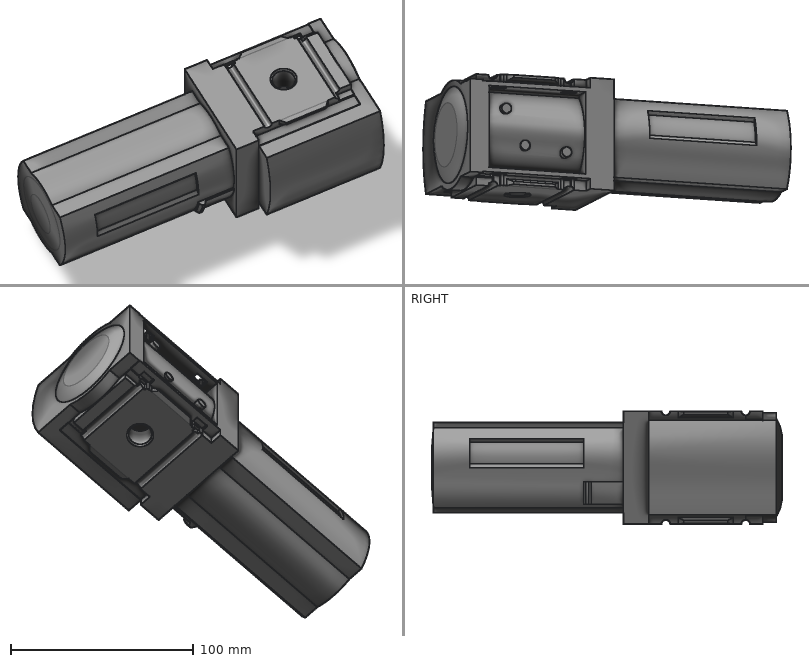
import cadquery as cq
import math


overall_width = 75.8
block_size = 62.0
block_half = block_size / 2
flange_front_y = -45.1
flange_back_y = -31.3
core_half_z = 25.3
plate_half_z = 26.0
plate_back_y = 38.8
cap_half_x = 24.0
cap_half_y = -flange_back_y

cover_edge_x = 40.3
cover_peak_x = overall_width - block_half

neck_radius = 30.1
dome_base_radius = 26.7
dome_top_radius = 17.7
dome_top_y = 41.9
dome_bulge = 0.7

port_radius = 6.3
port_rim_radius = 7.3
port_rim_depth = 1.0
port_depth = 15.4
groove_radius = 2.3
groove_y = 21.9
notch_half_x = 20.0
notch_floor_z = 26.5
lip_reach_x = 27.0
lip_root_half_y = 15.0
lip_tip_half_y = 12.0
lip_root_z = 27.3
lip_edge_low_z = 29.0
lip_edge_high_z = 30.5

slot_y = 20.5
slot_outer_x = 27.6
slot_shoulder_x = 23.6
slot_inner_x = 22.0
slot_width = 7.9
slot_neck_width = 4.5

pocket_front_y = -28.6
pocket_back_y = 27.8
pocket_half_z = 22.8
pocket_floor_x = 20.0
pocket_fillet = 1.5
barrel_radius = 29.2
pin_diameter = 5.5
long_pin_x = 30.1
short_pin_x = 28.6
pins = [(17.3, 11.0, long_pin_x), (5.8, -8.6, short_pin_x), (-17.9, -11.1, long_pin_x)]

bowl_half_x = 28.2
bowl_flat_z = 21.9
bowl_crown_z = 24.8
bowl_crown_half_x = 12.5
bowl_end_y = -149.4
bowl_side_rise = bowl_half_x - bowl_flat_z
bowl_side_radius = (bowl_flat_z**2 + bowl_side_rise**2) / (2 * bowl_side_rise)
bowl_side_center_x = bowl_half_x - bowl_side_radius
tip_base_radius = 21.7
tip_radius = 11.5
tip_y = -150.1

window_depth = 2.0
window_back_y = -67.0
window_front_y = -129.5
window_low_z = 0.0
window_high_z = 16.0
window_draft = 2.1

tab_radius = 42.0
tab_bump_radius = 44.0
tab_top_z = -7.9
tab_bottom_z = -20.0
tab_front_y = -67.0
bump_back_y = -62.8
bump_slope = 1.3

OVERLAP = 2.0


def box(x0, x1, y0, y1, z0, z1):
    return cq.Workplane("XY").box(x1 - x0, y1 - y0, z1 - z0, centered=False).translate((x0, y0, z0))


def along_y(y0):
    """Sketch plane with local x = X and local y = Z; positive extrusion runs toward -Y."""
    return cq.Workplane("XZ", origin=(0, y0, 0))


def both_sides_z(shape):
    return shape.union(shape.mirror("XY"))


def both_sides_x(shape):
    return shape.union(shape.mirror("YZ"))


def make_body():
    flange = box(-block_half, block_half, flange_front_y, flange_back_y, -block_half, block_half)
    core = box(-block_half, block_half, flange_back_y, cap_half_y, -core_half_z, core_half_z)
    back_plate = box(-block_half, block_half, cap_half_y, plate_back_y, -plate_half_z, plate_half_z)
    cover = (
        along_y(plate_back_y)
        .moveTo(block_half, -plate_half_z)
        .lineTo(cover_edge_x, -plate_half_z)
        .threePointArc((cover_peak_x, 0), (cover_edge_x, plate_half_z))
        .lineTo(block_half, plate_half_z)
        .close()
        .extrude(plate_back_y - flange_back_y)
    )
    neck = along_y(plate_back_y).circle(neck_radius).extrude(plate_back_y - cap_half_y)
    return flange.union(core).union(back_plate).union(cover).union(neck)


def make_dome():
    mid_radius = (dome_base_radius + dome_top_radius) / 2
    mid_y = plate_back_y + dome_bulge * (dome_top_y - plate_back_y)
    return (
        cq.Workplane("XY")
        .moveTo(0, plate_back_y - OVERLAP)
        .lineTo(dome_base_radius, plate_back_y - OVERLAP)
        .lineTo(dome_base_radius, plate_back_y)
        .threePointArc((mid_radius, mid_y), (dome_top_radius, dome_top_y))
        .lineTo(0, dome_top_y)
        .close()
        .revolve(360, (0, 0, 0), (0, 1, 0))
    )


def make_lip():
    """Clamping lip on the +X side of the upper pad, narrowing toward its tip."""
    root_x = cap_half_x - OVERLAP
    section = (
        along_y(lip_root_half_y)
        .polyline([
            (root_x, lip_root_z),
            (cap_half_x, lip_root_z),
            (lip_reach_x, lip_edge_low_z),
            (lip_reach_x, lip_edge_high_z),
            (cap_half_x, block_half),
            (root_x, block_half),
        ])
        .close()
        .extrude(2 * lip_root_half_y)
    )
    plan = (
        cq.Workplane("XY")
        .polyline([
            (root_x, -lip_root_half_y),
            (cap_half_x, -lip_root_half_y),
            (lip_reach_x, -lip_tip_half_y),
            (lip_reach_x, lip_tip_half_y),
            (cap_half_x, lip_root_half_y),
            (root_x, lip_root_half_y),
        ])
        .close()
        .extrude(block_half)
    )
    return section.intersect(plan)


def make_pad():
    """Upper port pad with two round grooves and notched back corners."""
    pad = box(-cap_half_x, cap_half_x, -cap_half_y, cap_half_y, 0, block_half)
    notch = box(notch_half_x, cap_half_x, groove_y, cap_half_y, notch_floor_z, block_half)
    pad = pad.cut(both_sides_x(notch))
    for y in (-groove_y, groove_y):
        groove = (
            cq.Workplane("YZ", origin=(-cap_half_x, y, block_half))
            .circle(groove_radius)
            .extrude(2 * cap_half_x)
        )
        pad = pad.cut(groove)
    return pad.union(both_sides_x(make_lip()))


def make_port():
    """Blind bore with a bevelled rim, opening on the upper pad."""
    bore = (
        cq.Workplane("XY", origin=(0, 0, block_half - port_depth))
        .circle(port_radius)
        .extrude(port_depth)
    )
    rim = (
        cq.Workplane("XY", origin=(0, 0, block_half - port_rim_depth))
        .circle(port_radius)
        .workplane(offset=port_rim_depth)
        .circle(port_rim_radius)
        .loft()
    )
    return bore.union(rim)


def make_slots():
    """Slots that open through the upper edge strip into the side pocket, with a neck into the pad."""
    slots = cq.Workplane("XY")
    for y in (-slot_y, slot_y):
        head = box(
            -slot_outer_x, -slot_shoulder_x, y - slot_width / 2, y + slot_width / 2,
            pocket_half_z - OVERLAP, block_half,
        )
        neck = box(
            -slot_shoulder_x, -slot_inner_x, y - slot_neck_width / 2, y + slot_neck_width / 2,
            core_half_z, block_half,
        )
        slots = slots.add(head.union(neck))
    return slots.combine()


def make_pocket():
    """Pocket volume: a box with rounded floor corners, less the barrel and its pins."""
    pocket = box(
        -block_half, -pocket_floor_x, pocket_front_y, pocket_back_y, -pocket_half_z, pocket_half_z
    )
    pocket = pocket.faces(">X").edges("|Y").fillet(pocket_fillet)
    barrel = along_y(pocket_back_y).circle(barrel_radius).extrude(pocket_back_y - pocket_front_y)
    pocket = pocket.cut(barrel)
    for y, z, face_x in pins:
        pin = (
            cq.Workplane("YZ", origin=(-face_x, y, z))
            .circle(pin_diameter / 2)
            .extrude(face_x - pocket_floor_x)
        )
        pocket = pocket.cut(pin)
    return pocket


def side_x(z, radius):
    """X of a circle concentric with the +X side of the bowl guard, at height z."""
    return bowl_side_center_x + math.sqrt(radius**2 - z**2)


def make_window():
    """Pocket in the +X side of the bowl guard, with leaning long walls and a round floor."""
    floor_radius = bowl_side_radius - window_depth
    high_z = window_high_z - window_draft
    low_z = window_low_z + window_draft
    mid_z = (high_z + low_z) / 2
    return (
        along_y(window_back_y)
        .moveTo(side_x(window_low_z, bowl_side_radius), window_low_z)
        .lineTo(side_x(low_z, floor_radius), low_z)
        .threePointArc((side_x(mid_z, floor_radius), mid_z), (side_x(high_z, floor_radius), high_z))
        .lineTo(side_x(window_high_z, bowl_side_radius), window_high_z)
        .lineTo(bowl_half_x + OVERLAP, window_high_z)
        .lineTo(bowl_half_x + OVERLAP, window_low_z)
        .close()
        .extrude(window_back_y - window_front_y)
    )


def make_bowl():
    length = flange_front_y - bowl_end_y
    guard = (
        along_y(flange_front_y)
        .moveTo(-bowl_flat_z, -bowl_flat_z)
        .lineTo(-bowl_crown_half_x, -bowl_flat_z)
        .threePointArc((0, -bowl_crown_z), (bowl_crown_half_x, -bowl_flat_z))
        .lineTo(bowl_flat_z, -bowl_flat_z)
        .threePointArc((bowl_half_x, 0), (bowl_flat_z, bowl_flat_z))
        .lineTo(bowl_crown_half_x, bowl_flat_z)
        .threePointArc((0, bowl_crown_z), (-bowl_crown_half_x, bowl_flat_z))
        .lineTo(-bowl_flat_z, bowl_flat_z)
        .threePointArc((-bowl_half_x, 0), (-bowl_flat_z, -bowl_flat_z))
        .close()
        .extrude(length)
    )
    tip = (
        along_y(bowl_end_y)
        .circle(tip_base_radius)
        .workplane(offset=bowl_end_y - tip_y)
        .circle(tip_radius)
        .loft()
    )
    return guard.cut(both_sides_x(make_window())).union(tip)


def make_tab():
    """Curved locking tab following the bowl side, with a raised bump at its front end."""
    root_radius = bowl_side_radius - OVERLAP
    center = bowl_side_center_x
    ring = (
        cq.Workplane("XY")
        .polyline([
            (center + root_radius, flange_front_y),
            (center + tab_radius, flange_front_y),
            (center + tab_radius, bump_back_y),
            (center + tab_bump_radius, bump_back_y - bump_slope),
            (center + tab_bump_radius, tab_front_y + bump_slope),
            (center + tab_radius, tab_front_y),
            (center + root_radius, tab_front_y),
        ])
        .close()
        .revolve(360, (center, 0, 0), (center, 1, 0))
    )
    band = box(0, block_half, tab_front_y, flange_front_y, tab_bottom_z, tab_top_z)
    return ring.intersect(band)


result = make_body().union(make_dome()).union(both_sides_z(make_pad()))
result = result.cut(both_sides_z(make_port()))
result = result.cut(both_sides_z(make_slots())).cut(make_pocket())
result = result.union(make_bowl()).union(make_tab())